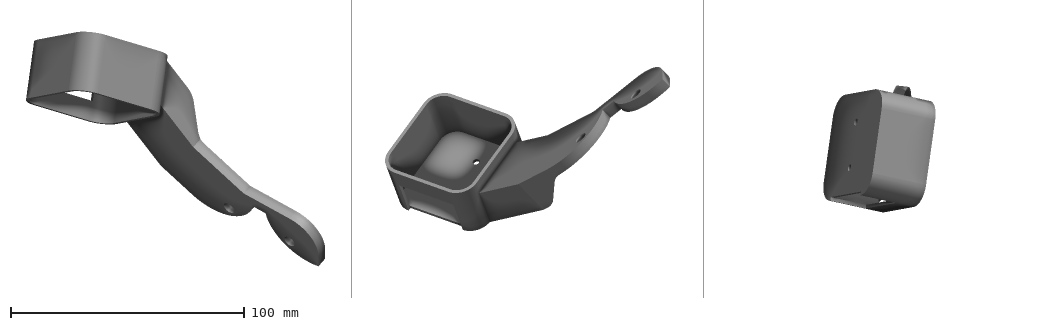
import cadquery as cq
import math


plate_thickness = 5.0
hole_diameter = 5.4
hole_spacing = 31.5
lobe_radius = 22.3
lobe_spacing = 50.0
lobe_bottom_z = -7.1
plate_top_z = 16.0
plate_right_x = 30.8
top_corner_radius = 14.9
notch_top_z = 10.5

arm_width = 30.1
slope_start_x = -8.2
slope_angle = math.radians(26.4)
arm_depth = 16.2
step_start_x = -34.8
step_radius = 6.7

cup_width = 46.5
cup_length = 26.0
cup_corner_radius = 9.0
wall = 1.5
cup_tilt = math.radians(35)
cup_mouth_x = -74.2
cup_mouth_z = 47.5
screw_diameter = 3.0
screw_spacing = 20.0
window_length = 17.2
window_width = cup_width - 2 * cup_corner_radius

diagonal = math.sqrt(0.5)
across_arm = cq.Vector(diagonal, 0, diagonal)
mouth_direction = cq.Vector(
    math.sin(cup_tilt) * diagonal, -math.cos(cup_tilt), -math.sin(cup_tilt) * diagonal
)
floor_y = arm_depth - cup_width / 2 * math.sin(cup_tilt)
mouth_center = cq.Vector(cup_mouth_x, floor_y - cup_length * math.cos(cup_tilt), cup_mouth_z)
floor_center = mouth_center - mouth_direction * cup_length
cup_plane = cq.Plane(origin=floor_center, xDir=across_arm, normal=mouth_direction)


def arm_bend(side, slope_x, slope_z):
    """Point where one edge of the 45 degree stretch meets the slope through a given point."""
    edge_sum = cup_mouth_x + cup_mouth_z + side * arm_width / 2 / diagonal
    run = (slope_x + slope_z - edge_sum) / (1 - math.tan(slope_angle))
    return slope_x - run, slope_z + run * math.tan(slope_angle)


def rounded_box(width, length, radius, start):
    """Square prism with rounded long edges, along the cup axis."""
    return (
        cq.Workplane(cup_plane)
        .workplane(offset=start)
        .rect(width, width)
        .extrude(length)
        .edges(cq.selectors.ParallelDirSelector(mouth_direction))
        .fillet(radius)
    )


def arm_and_plate_outline():
    """Front outline of the plate and arm, extruded to the full arm depth."""
    lobe_x = lobe_spacing / 2
    lobe_z = lobe_bottom_z + lobe_radius
    notch_half_width = lobe_x - math.sqrt(lobe_radius**2 - (lobe_z - notch_top_z) ** 2)
    right_bottom_z = lobe_z - math.sqrt(lobe_radius**2 - (plate_right_x - lobe_x) ** 2)
    tangent_x = -lobe_x - lobe_radius * math.sin(slope_angle)
    tangent_z = lobe_z - lobe_radius * math.cos(slope_angle)
    upper_bend = arm_bend(1, slope_start_x, plate_top_z)
    lower_bend = arm_bend(-1, tangent_x, tangent_z)
    lower_end = floor_center - across_arm * (arm_width / 2)
    upper_end = floor_center + across_arm * (arm_width / 2)
    return (
        cq.Workplane("XZ")
        .moveTo(slope_start_x, plate_top_z)
        .lineTo(plate_right_x - top_corner_radius, plate_top_z)
        .radiusArc((plate_right_x, plate_top_z - top_corner_radius), top_corner_radius)
        .lineTo(plate_right_x, right_bottom_z)
        .threePointArc((lobe_x, lobe_bottom_z), (notch_half_width, notch_top_z))
        .lineTo(-notch_half_width, notch_top_z)
        .threePointArc((-lobe_x, lobe_bottom_z), (tangent_x, tangent_z))
        .lineTo(*lower_bend)
        .lineTo(lower_end.x, lower_end.z)
        .lineTo(upper_end.x, upper_end.z)
        .lineTo(*upper_bend)
        .close()
        .extrude(-arm_depth)
    )


def depth_profile():
    """Plan of the arm and plate: deep beside the cup, ramping at 45 degrees to the thin plate."""
    left = floor_center.x - cup_width
    ramp_top_x = step_start_x - (arm_depth - plate_thickness)
    height = 4 * cup_width
    return (
        cq.Workplane("XY")
        .workplane(offset=-height / 2)
        .moveTo(left, 0)
        .lineTo(plate_right_x, 0)
        .lineTo(plate_right_x, plate_thickness)
        .lineTo(step_start_x, plate_thickness)
        .lineTo(ramp_top_x, arm_depth)
        .lineTo(left, arm_depth)
        .close()
        .extrude(height)
        .edges(cq.selectors.NearestToPointSelector((step_start_x, plate_thickness, 0)))
        .fillet(step_radius)
        .edges(cq.selectors.NearestToPointSelector((ramp_top_x, arm_depth, 0)))
        .fillet(step_radius)
    )


def arm_and_plate():
    """Arm and plate, trimmed where they meet the lower wall of the cup."""
    cup_side = (
        cq.Workplane(cup_plane)
        .rect(2 * cup_width, cup_width)
        .extrude(4 * cup_length, both=True)
    )
    mounting_holes = (
        cq.Workplane("XZ")
        .pushPoints([(-hole_spacing / 2, 0), (hole_spacing / 2, 0)])
        .circle(hole_diameter / 2)
        .extrude(-plate_thickness)
    )
    return arm_and_plate_outline().intersect(depth_profile()).cut(cup_side).cut(mounting_holes)


def cup():
    """Open cup with two screw holes in its floor and a window that also trims the floor edge."""
    outside = rounded_box(cup_width, cup_length, cup_corner_radius, 0)
    inside = rounded_box(cup_width - 2 * wall, cup_length, cup_corner_radius - wall, wall)
    screw_holes = (
        cq.Workplane(cup_plane)
        .pushPoints([(-screw_spacing / 2, 0), (screw_spacing / 2, 0)])
        .circle(screw_diameter / 2)
        .extrude(wall)
    )
    window = (
        cq.Workplane(cup_plane)
        .center(-cup_width / 2, 0)
        .rect(2 * wall, window_width)
        .extrude(window_length)
    )
    return outside.cut(inside).cut(screw_holes).cut(window)


result = cup().union(arm_and_plate())